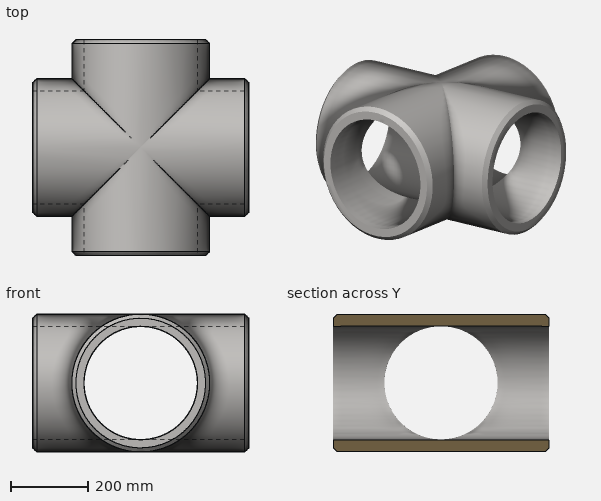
import cadquery as cq

length = 558.0
outer_diameter = 356.0
bore_diameter = 292.5
end_chamfer = 10.5


def centred_cylinder(plane, diameter):
    """Full-length cylinder along the normal of the plane, centred on the origin."""
    return cq.Workplane(plane).circle(diameter / 2).extrude(length / 2, both=True)


def pipe_body(plane):
    """Solid run of pipe with both outer end edges chamfered."""
    return centred_cylinder(plane, outer_diameter).faces("|" + AXIS[plane]).chamfer(end_chamfer)


AXIS = {"YZ": "X", "XZ": "Y"}

result = pipe_body("YZ").union(pipe_body("XZ"))
for section_plane in AXIS:
    result = result.cut(centred_cylinder(section_plane, bore_diameter))